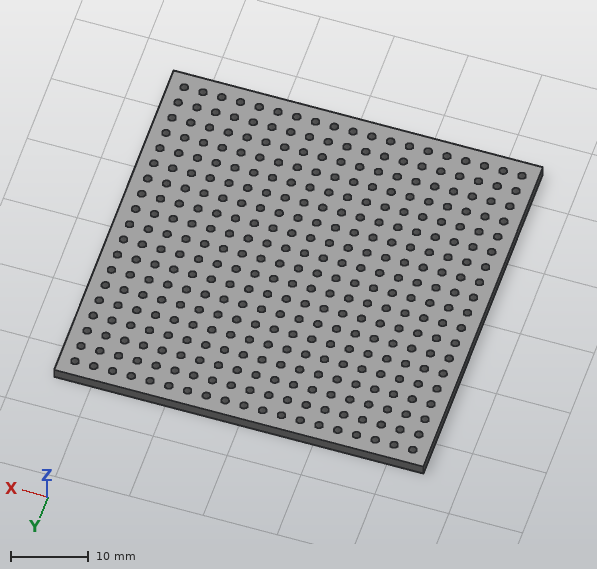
import cadquery as cq

board_side = 50.0
board_thickness = 1.55

hole_diameter = 1.0
hole_pitch = 2.54
holes_per_side = 19


def make_board_outline():
    """Square outline of the board, centred on the origin."""
    return cq.Workplane("XY").rect(board_side, board_side)


def add_hole_grid(outline):
    """Add the circles of the hole grid inside the outline."""
    return outline.rarray(hole_pitch, hole_pitch, holes_per_side, holes_per_side).circle(hole_diameter / 2)


result = add_hole_grid(make_board_outline()).extrude(board_thickness)